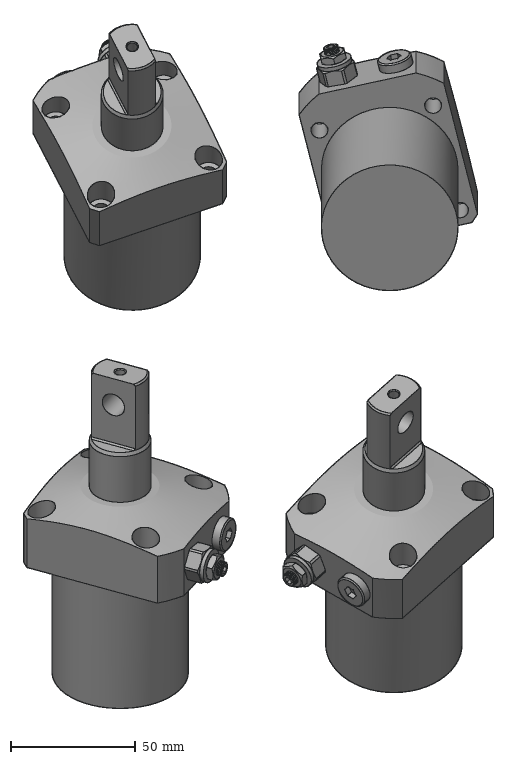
import cadquery as cq
import math


barrel_diameter = 55.1
flange_bottom = 59.1
housing_top = 89.0
flange_left = 39.0
flange_half = 30.0
left_corner_radius = 43.9
right_corner_chamfer = 3.0
cone_start_radius = 16.0
cone_angle = math.radians(15)
flange_margin = 1.5

bolt_pitch = 47.0
bolt_hole_diameter = 6.7
counterbore_diameter = 11.0
counterbore_floor = flange_bottom + 14.4

rod_diameter = 25.0
shank_diameter = 23.2
shank_chamfer = 0.7
shoulder_height = 112.2
shoulder_chamfer = 1.5
rod_top = 143.5
tongue_thickness = 12.0
tongue_slope = 0.7
cross_hole_diameter = 10.0
cross_hole_drop = 12.5
end_hole_diameter = 4.2
end_hole_depth = 10.0
end_hole_chamfer = 0.5

port_offset = 11.9
port_height = flange_bottom + 11.9

plug_diameter = 13.9
plug_length = 4.0
plug_chamfer = 0.6
plug_socket = 5.0
plug_socket_depth = 2.6

valve_hex = 14.0
valve_corner_diameter = 15.6
valve_length = 6.5
valve_chamfer_diameter = 13.8
valve_turn = -7.0
collar_diameter = 14.0
collar_length = 1.7
nut_hex = 10.0
nut_length = 3.6
nut_chamfer_diameter = 9.2
nut_turn = 35.0
screw_diameter = 6.0
screw_reach = 14.2
screw_inset = 3.5
thread_pitch = 0.7
thread_depth = 0.5
thread_count = 3
screw_socket = 3.0
screw_socket_depth = 2.2
hex_chamfer_angle = math.radians(30)

nut_start = valve_length + collar_length
nut_end = nut_start + nut_length
screw_start = valve_length - screw_inset


def port_plane(y, distance):
    """Plane facing -X, at a distance outside the housing face; its local x runs along -Y."""
    origin = (-flange_left - distance, y, port_height)
    return cq.Workplane(cq.Plane(origin=origin, xDir=(0, -1, 0), normal=(-1, 0, 0)))


def hexagon(plane, across_flats, length, turn=0.0):
    """Hexagonal prism with a corner on the plane's local x direction, then turned."""
    across_corners = across_flats / math.cos(math.pi / 6)
    return plane.transformed(rotate=(0, 0, turn)).polygon(6, across_corners).extrude(length)


def valve_turning(profile):
    """Solid of revolution about the valve axis from (distance outside the face, radius) points."""
    outline = [(-flange_left - distance, radius) for distance, radius in profile]
    plane = cq.Workplane("XY", origin=(0, port_offset, port_height))
    return plane.polyline(outline).close().revolve(360, (0, 0), (1, 0))


def flange_outline():
    """Rectangle with two arc corners at -X and two chamfered corners at +X."""
    arc_y = math.sqrt(left_corner_radius**2 - flange_left**2)
    arc_x = math.sqrt(left_corner_radius**2 - flange_half**2)
    mid_angle = (math.atan2(arc_y, flange_left) + math.atan2(flange_half, arc_x)) / 2
    mid_x = -left_corner_radius * math.cos(mid_angle)
    mid_y = left_corner_radius * math.sin(mid_angle)
    cut = flange_half - right_corner_chamfer
    return (
        cq.Workplane("XY", origin=(0, 0, flange_bottom))
        .moveTo(-flange_left, -arc_y)
        .threePointArc((mid_x, -mid_y), (-arc_x, -flange_half))
        .lineTo(cut, -flange_half)
        .lineTo(flange_half, -cut)
        .lineTo(flange_half, cut)
        .lineTo(cut, flange_half)
        .lineTo(-arc_x, flange_half)
        .threePointArc((mid_x, mid_y), (-flange_left, arc_y))
        .close()
    )


def bolt_pattern(diameter, bottom):
    """Four cylinders at the mounting holes, from a given height up to the housing top."""
    centres = cq.Workplane("XY", origin=(0, 0, bottom)).rect(bolt_pitch, bolt_pitch, forConstruction=True)
    return centres.vertices().circle(diameter / 2).extrude(housing_top - bottom)


def make_housing():
    flange = flange_outline().extrude(housing_top - flange_bottom)

    cone_foot = left_corner_radius + flange_margin
    cone_drop = (cone_foot - cone_start_radius) * math.tan(cone_angle)
    dome = (
        cq.Workplane("XZ")
        .moveTo(0, flange_bottom)
        .lineTo(cone_foot, flange_bottom)
        .lineTo(cone_foot, housing_top - cone_drop)
        .lineTo(cone_start_radius, housing_top)
        .lineTo(0, housing_top)
        .close()
        .revolve(360, (0, 0), (0, 1))
    )
    barrel = cq.Workplane("XY").circle(barrel_diameter / 2).extrude(flange_bottom)
    body = flange.intersect(dome).union(barrel)

    body = body.cut(bolt_pattern(counterbore_diameter, counterbore_floor))
    body = body.cut(bolt_pattern(bolt_hole_diameter, flange_bottom))

    bore = cq.Workplane("XY", origin=(0, 0, flange_bottom)).circle(rod_diameter / 2)
    bore = bore.extrude(housing_top - flange_bottom)
    return body.cut(bore)


def make_rod():
    lower = cq.Workplane("XY", origin=(0, 0, flange_bottom)).circle(rod_diameter / 2)
    lower = lower.extrude(shoulder_height - flange_bottom)
    lower = lower.faces(">Z").chamfer(shoulder_chamfer, (rod_diameter - shank_diameter) / 2)
    shank = cq.Workplane("XY", origin=(0, 0, shoulder_height)).circle(shank_diameter / 2)
    shank = shank.extrude(rod_top - shoulder_height).faces(">Z").chamfer(shank_chamfer)
    rod = lower.union(shank)

    tongue_bottom = shoulder_height + tongue_slope
    for side in (-1, 1):
        flat = (
            cq.Workplane("YZ", origin=(-rod_diameter / 2, 0, 0))
            .moveTo(side * tongue_thickness / 2, rod_top)
            .lineTo(side * tongue_thickness / 2, tongue_bottom)
            .lineTo(side * (tongue_thickness / 2 + tongue_slope), shoulder_height)
            .lineTo(side * rod_diameter / 2, shoulder_height)
            .lineTo(side * rod_diameter / 2, rod_top)
            .close()
            .extrude(rod_diameter)
        )
        rod = rod.cut(flat)

    cross_hole = cq.Workplane("XZ", origin=(0, 0, rod_top - cross_hole_drop))
    cross_hole = cross_hole.circle(cross_hole_diameter / 2).extrude(rod_diameter / 2, both=True)
    end_hole = cq.Workplane("XY", origin=(0, 0, rod_top)).circle(end_hole_diameter / 2)
    end_hole = end_hole.extrude(-end_hole_depth)
    rod = rod.cut(cross_hole).cut(end_hole)
    end_hole_rim = rod.faces(">Z").edges("%CIRCLE").edges(cq.selectors.RadiusNthSelector(0))
    return end_hole_rim.chamfer(end_hole_chamfer)


def make_plug():
    plug = port_plane(-port_offset, 0).circle(plug_diameter / 2).extrude(plug_length)
    plug = plug.faces("<X").chamfer(plug_chamfer)
    return plug.cut(hexagon(port_plane(-port_offset, plug_length), plug_socket, -plug_socket_depth))


def screw_hole():
    """Cutter for the screw's passage through the nut, collar and valve body."""
    length = screw_reach - screw_start
    return port_plane(port_offset, screw_start).circle(screw_diameter / 2).extrude(length)


def make_valve_body():
    corner = valve_corner_diameter / 2
    face = valve_chamfer_diameter / 2
    drop = (corner - face) * math.tan(hex_chamfer_angle)
    blank = valve_turning([
        (0, 0),
        (0, corner),
        (valve_length - drop, corner),
        (valve_length, face),
        (valve_length, 0),
    ])
    prism = hexagon(port_plane(port_offset, 0), valve_hex, valve_length, valve_turn)
    return prism.intersect(blank).cut(screw_hole())


def make_collar():
    collar = port_plane(port_offset, valve_length).circle(collar_diameter / 2).extrude(collar_length)
    return collar.cut(screw_hole())


def make_nut():
    corner = nut_hex / 2 / math.cos(math.pi / 6)
    face = nut_chamfer_diameter / 2
    drop = (corner - face) * math.tan(hex_chamfer_angle)
    blank = valve_turning([
        (nut_start, 0),
        (nut_start, face),
        (nut_start + drop, corner),
        (nut_end - drop, corner),
        (nut_end, face),
        (nut_end, 0),
    ])
    prism = hexagon(port_plane(port_offset, nut_start), nut_hex, nut_length, nut_turn)
    return prism.intersect(blank).cut(screw_hole())


def make_screw():
    crest = screw_diameter / 2
    root = crest - thread_depth
    profile = [(screw_start, 0), (screw_start, crest)]

    for turn in range(thread_count):
        groove = nut_end + turn * thread_pitch
        profile.append((groove, crest))
        profile.append((groove + thread_pitch / 2, root))
    profile.append((nut_end + thread_count * thread_pitch, crest))
    profile += [(screw_reach, root), (screw_reach, 0)]

    screw = valve_turning(profile)
    return screw.cut(hexagon(port_plane(port_offset, screw_reach), screw_socket, -screw_socket_depth))


housing = make_housing()
rod = make_rod()
plug = make_plug()
valve_body = make_valve_body()
collar = make_collar()
nut = make_nut()
screw = make_screw()

bodies = [housing, rod, plug, valve_body, collar, nut, screw]
result = cq.Compound.makeCompound([body.val() for body in bodies])